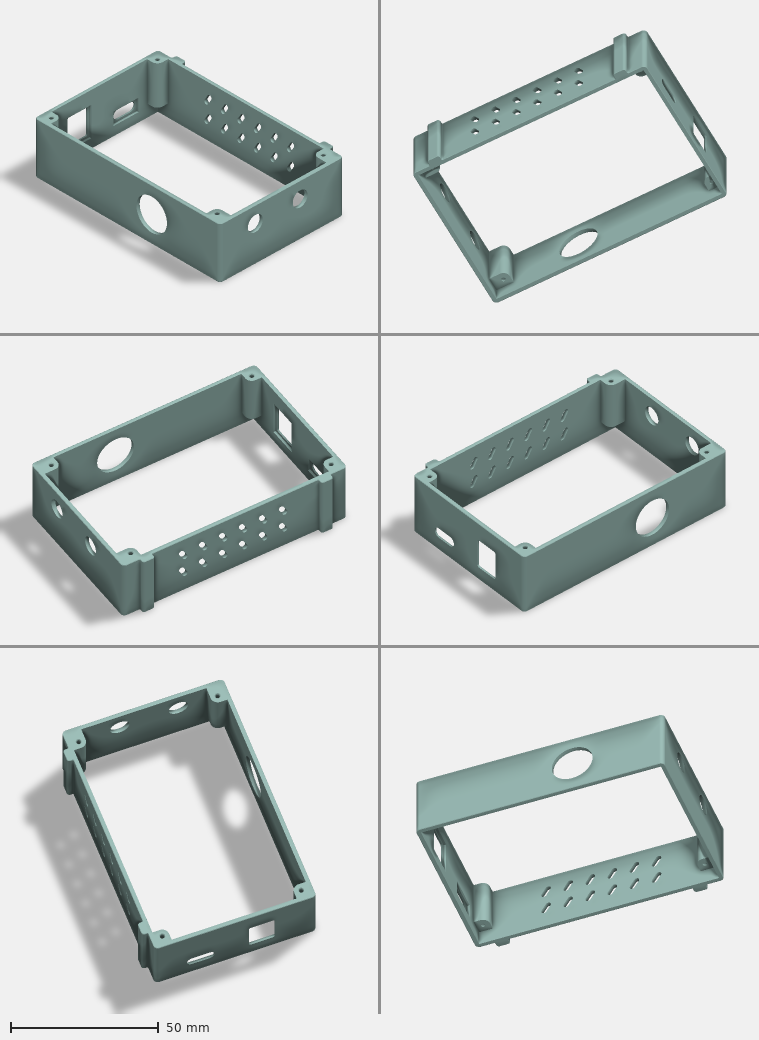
import cadquery as cq

LENGTH = 89.9
OVERALL_DEPTH = 60.6
HEIGHT = 24.0
TAB_REACH = 2.1
DEPTH = OVERALL_DEPTH - TAB_REACH
WALL = 1.5
CORNER_RADIUS = 1.5
RIM_CHAMFER = 0.2
CUT_LENGTH = 3 * WALL

TAB_WIDTH = 4.9
TAB_CENTRE_X = 35.8
TAB_RADIUS = 1.0
TAB_ROOT_RADIUS = 0.4

POST_BOTTOM = 5.85
POST_DEPTH = 6.7
LEFT_POST_WIDTH = 6.5
RIGHT_POST_WIDTH = 8.2
POST_RADIUS = 2.5
SCREW_TO_POST_FACE = 2.5
SCREW_HOLE_DIAMETER = 1.5
SCREW_CHAMFER = 0.3

WINDOW_DIAMETER = 14.75
WINDOW_X = 11.9
WINDOW_Z = 12.05

VENT_COLUMNS = 6
VENT_ROWS = 2
VENT_PITCH = 8.0
VENT_CENTRE_X = 0.8
VENT_CENTRE_Z = 12.8
VENT_LENGTH = 4.95
VENT_WIDTH = 2.0
VENT_ANGLE = 60

PORT_SLOT_LENGTH = 10.0
PORT_SLOT_HEIGHT = 4.0
PORT_SLOT_Y = 41.9
PORT_BOTTOM = 5.2
SOCKET_WIDTH = 9.4
SOCKET_HEIGHT = 11.7
SOCKET_RADIUS = 0.8
SOCKET_Y = 19.8
PORT_WALL = 0.6
PORT_RELIEF_MARGIN = 1.0

JACK_DIAMETER = 7.0
JACK_Z = 16.55
JACK_YS = (16.7, 37.95)


def block(x_min, x_max, y_min, y_max, z_min, z_max):
    """Axis-aligned box given by its limits."""
    size = (x_max - x_min, y_max - y_min, z_max - z_min)
    return cq.Workplane("XY").box(*size, centered=False).translate((x_min, y_min, z_min))


def make_outer_body():
    """Solid outline with its back tabs, rounded corners and chamfered rims."""
    body = block(-LENGTH / 2, LENGTH / 2, 0, DEPTH, 0, HEIGHT).edges("|Z").fillet(CORNER_RADIUS)
    tab_roots = []
    for centre_x in (-TAB_CENTRE_X, TAB_CENTRE_X):
        left = centre_x - TAB_WIDTH / 2
        right = centre_x + TAB_WIDTH / 2
        tab = block(left, right, DEPTH - WALL, OVERALL_DEPTH, 0, HEIGHT)
        body = body.union(tab.edges("|Z and >Y").fillet(TAB_RADIUS))
        tab_roots += [(left, DEPTH, HEIGHT / 2), (right, DEPTH, HEIGHT / 2)]
    for root in tab_roots:
        body = body.edges(cq.selectors.NearestToPointSelector(root)).fillet(TAB_ROOT_RADIUS)
    return body.faces("<Z or >Z").edges().chamfer(RIM_CHAMFER)


def make_cavity():
    """Space inside the four walls, open at top and bottom."""
    return block(-LENGTH / 2 + WALL, LENGTH / 2 - WALL, WALL, DEPTH - WALL, 0, HEIGHT)


def make_post(side, width, at_back):
    """Corner post; side is -1 for the left wall and 1 for the right wall."""
    inner_x = LENGTH / 2 - width
    post = block(inner_x, LENGTH / 2 - WALL / 2, WALL / 2, POST_DEPTH, POST_BOTTOM, HEIGHT)
    post = post.edges("|Z and <X and >Y").fillet(POST_RADIUS)
    if side < 0:
        post = post.mirror("YZ")
    if at_back:
        post = post.mirror("XZ").translate((0, DEPTH, 0))
    return post


def make_screw_hole(side, width, at_back):
    """Through hole of a corner post, chamfered at the top."""
    x = side * (LENGTH / 2 - width + SCREW_TO_POST_FACE)
    y = POST_DEPTH - SCREW_TO_POST_FACE
    if at_back:
        y = DEPTH - y
    radius = SCREW_HOLE_DIAMETER / 2
    hole = cq.Workplane("XY").center(x, y).circle(radius).extrude(HEIGHT)
    mouth = (
        cq.Workplane("XY", origin=(x, y, HEIGHT - SCREW_CHAMFER))
        .circle(radius)
        .workplane(offset=SCREW_CHAMFER)
        .circle(radius + SCREW_CHAMFER)
        .loft()
    )
    return hole.union(mouth)


def make_window():
    """Round opening through the front wall."""
    plane = cq.Workplane("XZ", origin=(WINDOW_X, 0, WINDOW_Z))
    return plane.circle(WINDOW_DIAMETER / 2).extrude(CUT_LENGTH, both=True)


def make_vents():
    """Grid of slanted slots through the back wall."""
    plane = cq.Workplane("XZ", origin=(VENT_CENTRE_X, DEPTH, VENT_CENTRE_Z))
    grid = plane.rarray(VENT_PITCH, VENT_PITCH, VENT_COLUMNS, VENT_ROWS)
    return grid.slot2D(VENT_LENGTH, VENT_WIDTH, VENT_ANGLE).extrude(CUT_LENGTH, both=True)


def make_left_openings():
    """Rounded slot and rectangular socket opening through the left wall."""
    wall_plane = cq.Workplane("YZ", origin=(-LENGTH / 2, 0, PORT_BOTTOM))
    slot = (
        wall_plane.center(PORT_SLOT_Y, PORT_SLOT_HEIGHT / 2)
        .slot2D(PORT_SLOT_LENGTH, PORT_SLOT_HEIGHT)
        .extrude(CUT_LENGTH, both=True)
    )
    socket = (
        wall_plane.center(SOCKET_Y, SOCKET_HEIGHT / 2)
        .rect(SOCKET_WIDTH, SOCKET_HEIGHT)
        .extrude(CUT_LENGTH, both=True)
        .edges("|X")
        .fillet(SOCKET_RADIUS)
    )
    return slot.union(socket)


def make_left_reliefs():
    """Pockets in the inner side of the left wall that thin it around both openings."""
    reliefs = cq.Workplane("XY")
    openings = (
        (PORT_SLOT_Y, PORT_SLOT_LENGTH, PORT_SLOT_HEIGHT),
        (SOCKET_Y, SOCKET_WIDTH, SOCKET_HEIGHT),
    )
    for centre_y, width, height in openings:
        half_width = width / 2 + PORT_RELIEF_MARGIN
        relief = block(
            -LENGTH / 2 + PORT_WALL,
            -LENGTH / 2 + WALL,
            centre_y - half_width,
            centre_y + half_width,
            PORT_BOTTOM - PORT_RELIEF_MARGIN,
            PORT_BOTTOM + height + PORT_RELIEF_MARGIN,
        )
        reliefs = reliefs.add(relief)
    return reliefs.combine()


def make_jack_holes():
    """Round holes through the right wall."""
    plane = cq.Workplane("YZ", origin=(LENGTH / 2, 0, JACK_Z))
    centres = [(y, 0) for y in JACK_YS]
    return plane.pushPoints(centres).circle(JACK_DIAMETER / 2).extrude(CUT_LENGTH, both=True)


result = make_outer_body().cut(make_cavity())

for side, width in ((-1, LEFT_POST_WIDTH), (1, RIGHT_POST_WIDTH)):
    for at_back in (False, True):
        result = result.union(make_post(side, width, at_back))
        result = result.cut(make_screw_hole(side, width, at_back))

cutters = (make_window(), make_vents(), make_left_openings(), make_left_reliefs(), make_jack_holes())
for cutter in cutters:
    result = result.cut(cutter)